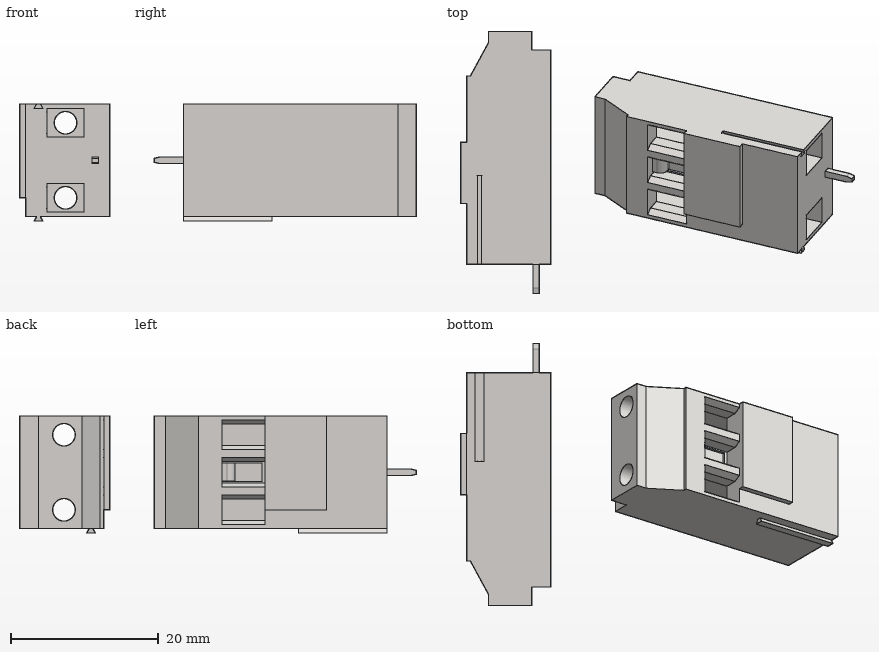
import cadquery as cq

body_width = 11.4
body_length = 31.52
body_height = 15.23
overall_length = 35.5
overall_height = 15.85
pitch = body_height / 3
level_centers = [pitch * (level + 0.5) for level in range(3)]
middle_level = level_centers[1]

nose_left = 2.95
nose_right = 8.85
nose_start = 30.0
right_shoulder = 29.0
left_shoulder = 25.5
ledge_width = 0.5

plate_start = 8.2
plate_end = 16.55
plate_thickness = 0.8

pocket_end = 22.33
pocket_depth = 2.88
pocket_height = 4.0
pocket_chamfer_depth = 1.0
pocket_chamfer_rise = 0.55

wire_hole_width = 5.05
wire_hole_height = 3.87
wire_hole_center = pocket_depth + wire_hole_width / 2
wire_hole_depth = 24.85
through_diameter = 3.0

strip_face = 1.65
strip_flat = 0.67
strip_radius = 1.05
strip_bottom = 6.43
strip_top = 8.88
recess_depth = 0.35
recess_height = 2.52
recess_margin = 0.4

pin_center = 9.4
pin_width = 0.9
pin_height = 0.92
pin_length = overall_length - body_length
pin_tip_length = 0.78
pin_tip_height = 0.55

dovetail_center = 1.75
dovetail_neck = 0.55
dovetail_base = 1.17
dovetail_depth = overall_height - body_height
dovetail_length = 12.0


def block(x_start, x_end, y_start, y_end, z_start, z_end):
    """Box given by its limits along each axis."""
    size = (x_end - x_start, y_end - y_start, z_end - z_start)
    return cq.Workplane("XY").box(*size, centered=False).translate((x_start, y_start, z_start))


def along_y(points, y_start, y_end):
    """Prism with an XZ outline running from y_start to y_end."""
    plane = cq.Workplane("XZ", origin=(0, y_start, 0))
    return plane.polyline(points).close().extrude(y_start - y_end)


def make_body():
    outline = [
        (0, 0),
        (body_width, 0),
        (body_width, right_shoulder),
        (nose_right, right_shoulder),
        (nose_right, body_length),
        (nose_left, body_length),
        (nose_left, nose_start),
        (ledge_width, left_shoulder),
        (0, left_shoulder),
    ]
    body = cq.Workplane("XY").polyline(outline).close().extrude(body_height)
    plate = block(-plate_thickness, 0, plate_start, plate_end, pitch / 2, body_height)
    return body.union(plate)


def make_pocket(center):
    outer = pocket_height / 2
    inner = outer - pocket_chamfer_rise
    outline = [
        (0, center - outer),
        (pocket_chamfer_depth, center - inner),
        (pocket_depth, center - inner),
        (pocket_depth, center + inner),
        (pocket_chamfer_depth, center + inner),
        (0, center + outer),
    ]
    return along_y(outline, plate_end, pocket_end)


def make_wire_hole(center):
    half_width = wire_hole_width / 2
    half_height = wire_hole_height / 2
    entry = block(
        wire_hole_center - half_width, wire_hole_center + half_width,
        0, wire_hole_depth,
        center - half_height, center + half_height,
    )
    bore = (
        cq.Workplane("XZ", origin=(wire_hole_center, 0, center))
        .circle(through_diameter / 2)
        .extrude(-body_length)
    )
    return entry.union(bore)


def make_recess():
    return block(
        pocket_depth, pocket_depth + recess_depth,
        plate_end + recess_margin, pocket_end,
        middle_level - recess_height / 2, middle_level + recess_height / 2,
    )


def make_strip():
    """Contact strip at the pocket end, rounded where it turns inwards."""
    strip = block(
        strip_face, pocket_depth + recess_depth,
        pocket_end - strip_flat - strip_radius, pocket_end,
        strip_bottom, strip_top,
    )
    return strip.edges("|Z and <X and <Y").fillet(strip_radius)


def make_pin():
    half_height = pin_height / 2
    half_tip = pin_tip_height / 2
    shoulder = pin_tip_length - pin_length
    outline = [
        (0, middle_level - half_height),
        (shoulder, middle_level - half_height),
        (-pin_length, middle_level - half_tip),
        (-pin_length, middle_level + half_tip),
        (shoulder, middle_level + half_height),
        (0, middle_level + half_height),
    ]
    plane = cq.Workplane("YZ", origin=(pin_center - pin_width / 2, 0, 0))
    return plane.polyline(outline).close().extrude(pin_width)


def make_dovetail(neck_z):
    """Dovetail prism hanging down from the given height."""
    outline = [
        (dovetail_center - dovetail_neck / 2, neck_z),
        (dovetail_center + dovetail_neck / 2, neck_z),
        (dovetail_center + dovetail_base / 2, neck_z - dovetail_depth),
        (dovetail_center - dovetail_base / 2, neck_z - dovetail_depth),
    ]
    return along_y(outline, 0, dovetail_length)


result = make_body()
for level_center in level_centers:
    result = result.cut(make_pocket(level_center))
for wire_level in (level_centers[0], level_centers[2]):
    result = result.cut(make_wire_hole(wire_level))
result = result.cut(make_recess()).union(make_strip())
result = result.cut(make_dovetail(body_height)).union(make_dovetail(0))
result = result.union(make_pin())